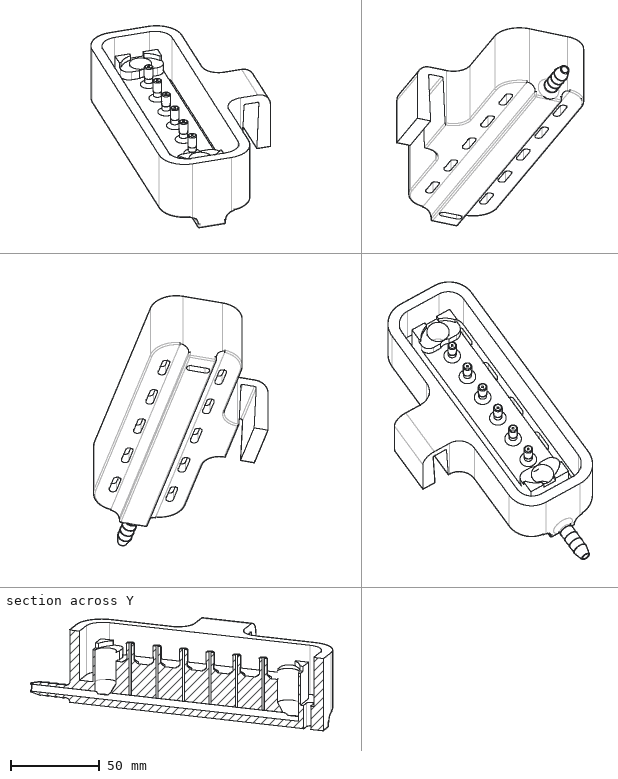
import cadquery as cq


total_length = 176.7
total_height = 43.0
tray_length = 153.0
tray_width = 53.0
tray_corner = 15.0
cavity_corner = 10.0
wall = 6.0
tray_bottom = 8.0
floor_top = tray_bottom + wall
bottom_rounding = 0.9
tray_half_length = tray_length / 2
tray_half_width = tray_width / 2

hook_width = 30.0
hook_reach = 28.0
hook_corner = 7.6
neck_radius = 10.0
hook_slot_top = total_height - 4.8
hook_tip_top_thickness = 6.9
hook_tip_bottom_thickness = 8.1
hook_root_top = 12.2
hook_root_bottom = 11.0
hook_slot_corner = 1.0

rail_half_width = 8.1
rail_fillet = 5.0

block_length = 125.0
block_width = 25.0
block_top = 27.5
end_top = 35.5
block_half_length = block_length / 2
block_half_width = block_width / 2

well_x = 55.0
well_diameter = 12.5
well_top = 32.7
pad_inner_x = 47.7
pad_corner = 5.0
pad_notch_diameter = 10.0
pad_notch_depth = 0.9
pad_arc_x = 47.3
pad_arc_radius = 13.8
end_gap = 8.0
throat_length = 8.0
throat_width = 6.0
funnel_top = 14.1
throat_x = well_x + (well_diameter - throat_length) / 2

barb_length = total_length - tray_length
barb_diameter = 8.3
barb_neck_diameter = 7.6
barb_tip_diameter = 5.3
barb_tip_length = 5.8
barb_pitch = 4.8
barb_count = 3
barb_flare_diameter = 12.5
barb_axis_z = barb_flare_diameter / 2
channel_diameter = 3.9

pin_count = 6
pin_row_length = 80.0
pin_pitch = pin_row_length / (pin_count - 1)
pin_diameter = 5.0
pin_foot_diameter = 9.4
pin_neck_diameter = 4.6
pin_tip_diameter = 3.9
pin_height = 11.7
pin_foot_height = 1.8
pin_neck_height = 4.6
pin_tip_chamfer = 0.5
pin_hole_diameter = 1.0

slot_length = 13.3
slot_width = 4.2
slot_pitch = 26.9
slot_count = 5
slot_y = (block_half_width + tray_half_width - wall) / 2
end_slot_x = (block_half_length + tray_half_length - wall) / 2


def box_between(x0, x1, y0, y1, z0, z1):
    return cq.Workplane("XY").box(x1 - x0, y1 - y0, z1 - z0, centered=False).translate((x0, y0, z0))


def make_tray(bottom):
    return (
        cq.Workplane("XY", origin=(0, 0, bottom))
        .rect(tray_length, tray_width)
        .extrude(total_height - bottom)
        .edges("|Z")
        .fillet(tray_corner)
    )


def make_cavity():
    return (
        cq.Workplane("XY", origin=(0, 0, floor_top))
        .rect(tray_length - 2 * wall, tray_width - 2 * wall)
        .extrude(total_height - floor_top)
        .edges("|Z")
        .fillet(cavity_corner)
    )


def make_hook():
    half = hook_width / 2
    root = tray_half_width
    tip = root + hook_reach
    inside = root - wall / 2
    arm = (
        cq.Workplane("XY", origin=(0, 0, tray_bottom))
        .moveTo(-half - neck_radius, inside)
        .lineTo(-half - neck_radius, root)
        .radiusArc((-half, root + neck_radius), -neck_radius)
        .lineTo(-half, tip)
        .lineTo(half, tip)
        .lineTo(half, root + neck_radius)
        .radiusArc((half + neck_radius, root), -neck_radius)
        .lineTo(half + neck_radius, inside)
        .close()
        .extrude(total_height - tray_bottom)
    )
    arm = arm.faces(">Y").edges(">Z").fillet(hook_corner)
    slot = (
        cq.Workplane("YZ")
        .moveTo(root + hook_root_bottom, tray_bottom)
        .lineTo(root + hook_root_top, hook_slot_top)
        .lineTo(tip - hook_tip_top_thickness, hook_slot_top)
        .lineTo(tip - hook_tip_bottom_thickness, tray_bottom)
        .close()
        .extrude(hook_width / 2 + neck_radius, both=True)
        .faces(">Z")
        .edges("|X")
        .fillet(hook_slot_corner)
    )
    return arm.cut(slot)


def make_rail():
    flare_half_width = rail_half_width + rail_fillet
    neck_z = tray_bottom - rail_fillet
    top = tray_bottom + bottom_rounding
    bar = (
        box_between(-tray_half_length, tray_half_length, -rail_half_width, rail_half_width, 0, top)
        .edges("|Z or <Z")
        .fillet(bottom_rounding)
    )
    flare = (
        cq.Workplane("YZ", origin=(-tray_half_length, 0, 0))
        .moveTo(rail_half_width, neck_z)
        .radiusArc((flare_half_width, tray_bottom), rail_fillet)
        .lineTo(flare_half_width, top)
        .lineTo(-flare_half_width, top)
        .lineTo(-flare_half_width, tray_bottom)
        .radiusArc((-rail_half_width, neck_z), rail_fillet)
        .close()
        .extrude(tray_length)
        .intersect(make_tray(0))
    )
    return bar.union(flare)


def make_block():
    block = box_between(
        -block_half_length, block_half_length, -block_half_width, block_half_width, floor_top, block_top
    )
    arc_disc = (
        cq.Workplane("XY", origin=(pad_arc_x, 0, floor_top))
        .circle(pad_arc_radius)
        .extrude(total_height - floor_top)
    )
    gap = box_between(well_x, block_half_length, -end_gap / 2, end_gap / 2, floor_top, total_height)
    corners = box_between(
        well_x, block_half_length, -block_half_width, block_half_width, floor_top, end_top
    ).cut(arc_disc).cut(gap)
    notch = (
        cq.Workplane("XY", origin=(pad_inner_x + pad_notch_depth - pad_notch_diameter / 2, 0, block_top))
        .circle(pad_notch_diameter / 2)
        .extrude(well_top - block_top)
    )
    pad = (
        box_between(pad_inner_x, block_half_length, -block_half_width, block_half_width, block_top, well_top)
        .edges("|Z and <X")
        .fillet(pad_corner)
        .cut(notch)
    )
    end = pad.union(corners)
    return block.union(end).union(end.mirror("YZ"))


def make_well():
    funnel = (
        cq.Workplane("XY", origin=(well_x, 0, funnel_top))
        .circle(well_diameter / 2)
        .workplane(offset=barb_axis_z - funnel_top)
        .center(throat_x - well_x, 0)
        .ellipse(throat_length / 2, throat_width / 2)
        .loft()
    )
    bore = (
        cq.Workplane("XY", origin=(well_x, 0, funnel_top))
        .circle(well_diameter / 2)
        .extrude(total_height - funnel_top)
    )
    return funnel.union(bore)


def make_barb():
    flare_radius = (barb_flare_diameter - barb_neck_diameter) / 2
    profile = (
        cq.Workplane("XY")
        .lineTo(0, barb_tip_diameter / 2)
        .lineTo(barb_tip_length, barb_diameter / 2)
    )
    for step in range(barb_count):
        start = barb_tip_length + step * barb_pitch
        profile = profile.lineTo(start, barb_neck_diameter / 2)
        profile = profile.lineTo(start + barb_pitch, barb_diameter / 2)
    profile = (
        profile.lineTo(barb_tip_length + barb_count * barb_pitch, barb_neck_diameter / 2)
        .lineTo(barb_length - flare_radius, barb_neck_diameter / 2)
        .radiusArc((barb_length, barb_flare_diameter / 2), -flare_radius)
        .lineTo(barb_length + wall / 2, barb_flare_diameter / 2)
        .lineTo(barb_length + wall / 2, 0)
        .close()
    )
    barb = profile.revolve(360, (0, 0, 0), (1, 0, 0))
    return barb.translate((-tray_half_length - barb_length, 0, barb_axis_z))


def make_channel():
    start = -tray_half_length - barb_length
    end = throat_x + throat_length / 2
    return cq.Workplane("YZ", origin=(start, 0, barb_axis_z)).circle(channel_diameter / 2).extrude(end - start)


def make_pin():
    return (
        cq.Workplane("XZ")
        .lineTo(pin_foot_diameter / 2, 0)
        .lineTo(pin_neck_diameter / 2, pin_foot_height)
        .lineTo(pin_neck_diameter / 2, pin_neck_height)
        .lineTo(pin_diameter / 2, pin_neck_height)
        .lineTo(pin_diameter / 2, pin_height - pin_tip_chamfer)
        .lineTo(pin_tip_diameter / 2, pin_height)
        .lineTo(0, pin_height)
        .close()
        .revolve(360, (0, 0, 0), (0, 1, 0))
    )


def make_drain_slots():
    base = cq.Workplane("XY")
    sides = (
        base.rarray(slot_pitch, 2 * slot_y, slot_count, 2)
        .slot2D(slot_length, slot_width)
        .extrude(floor_top)
    )
    end = base.center(end_slot_x, 0).slot2D(slot_length, slot_width, 90).extrude(floor_top)
    return sides.union(end)


result = make_tray(tray_bottom).union(make_hook())
result = result.faces("<Z").faces("<Y").edges().fillet(bottom_rounding)
result = result.union(make_rail()).union(make_barb())
result = result.cut(make_cavity()).union(make_block())

pin_places = [(i * pin_pitch - pin_row_length / 2, 0) for i in range(pin_count)]
for x, y in pin_places:
    result = result.union(make_pin().translate((x, y, block_top)))

pin_holes = (
    cq.Workplane("XY", origin=(0, 0, barb_axis_z))
    .pushPoints(pin_places)
    .circle(pin_hole_diameter / 2)
    .extrude(block_top + pin_height - barb_axis_z)
)
well = make_well()
result = result.cut(well).cut(well.mirror("YZ")).cut(make_channel()).cut(pin_holes).cut(make_drain_slots())